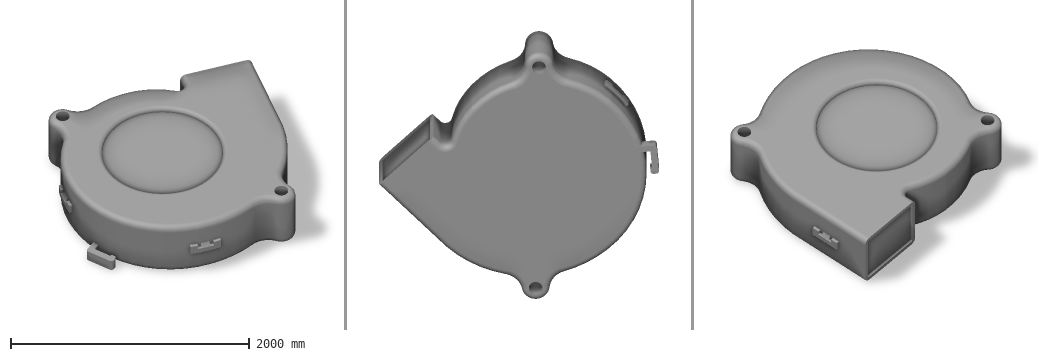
import cadquery as cq
import math


height = 508.0
edge_round = 52.0

spiral_x = -4.0
spiral_y = 5.0
smallest_radius = 685.0
growth_per_turn = 377.0
seam_width = 14.0

outlet_x = -810.0
duct_end_x = spiral_x + seam_width / 2
duct_height = 636.0
duct_top = spiral_y + smallest_radius + growth_per_turn
duct_bottom = duct_top - duct_height
duct_corner_radius = 55.0
duct_notch_angle = 147
outlet_wall = 35.0
outlet_depth = 20.0
outlet_corner_radius = 12.0

inlet_radius = 506.0
inlet_depth = 42.0
inlet_round = 40.0

ears = [(45, 1113.0), (225, 933.0)]
ear_radius = 118.0
ear_neck_radius = 180.0
ear_zone = 140.0
screw_hole_radius = 58.0

clip_width = 267.0
clip_height = 82.0
clip_bottom = 220.0
clip_thickness = 28.0
clip_notch_width = 142.0
clip_notch_depth = 35.0
clip_offset = 50.0
top_clip_x = -380.0
catch_width = 78.0
catch_reach = 22.0
clip_root = 100.0
clip_reach = 100.0

hook_height = 102.0
hook_corner = (545.0, -863.0)
hook_angle = 39
hook_length = 261.0
hook_thickness = 55.0
hook_root_thickness = 52.0
hook_root_length = 170.0
hook_lip_length = 52.0
hook_lip_height = 15.0
hook_corner_radius = 24.0


def spiral_point(angle, along=0.0, outward=0.0):
    """Point on the spiral, moved along the tangent and outward from the spiral centre."""
    a = math.radians(angle)
    radius = smallest_radius + growth_per_turn * (angle - 90) / 360 + outward
    x = spiral_x + radius * math.cos(a) - along * math.sin(a)
    y = spiral_y + radius * math.sin(a) + along * math.cos(a)
    return (x, y)


def volute(outward=0.0):
    """One turn of spiral from +Y, as an arc per quadrant with flat seams between."""
    half_seam = seam_width / 2
    outline = cq.Workplane("XY").moveTo(*spiral_point(90, 0, outward))
    for start in (90, 180, 270, 360):
        arc_start = spiral_point(start, half_seam, outward)
        arc_middle = spiral_point(start + 45, 0, outward)
        arc_end = spiral_point(start + 90, -half_seam, outward)
        outline = outline.lineTo(*arc_start).threePointArc(arc_middle, arc_end)
    return outline.lineTo(*spiral_point(450, 0, outward)).close().extrude(height)


def duct(outward=0.0):
    length = duct_end_x - outlet_x
    block = cq.Workplane("XY").box(length, duct_height + outward, height, centered=False)
    return block.translate((outlet_x, duct_bottom, 0))


def ear_center(angle, distance):
    a = math.radians(angle)
    return (distance * math.cos(a), distance * math.sin(a))


def casing():
    """Volute, duct and ears joined by smooth concave necks, with sharp rims."""
    body = volute().union(duct())
    for angle, distance in ears:
        ear = cq.Workplane("XY").center(-distance, 0).circle(ear_radius).extrude(height)
        body = body.union(ear.rotate((0, 0, 0), (0, 0, 1), angle - 180))
    for angle, distance in ears:
        x, y = ear_center(angle, distance)
        around_ear = cq.selectors.BoxSelector(
            (x - ear_zone, y - ear_zone, 0), (x + ear_zone, y + ear_zone, height)
        )
        body = body.edges("|Z").edges(around_ear).fillet(ear_neck_radius)
    duct_notch = cq.selectors.NearestToPointSelector((*spiral_point(duct_notch_angle), height / 2))
    body = body.edges("|Z").edges(duct_notch).fillet(duct_corner_radius)
    return body


def rounded(body):
    """Round the top and bottom rims, leaving the outlet face square-edged."""
    margin = 20.0
    outlet_end = cq.selectors.BoxSelector(
        (outlet_x - margin, duct_bottom - margin, -margin),
        (outlet_x + margin, duct_top + margin, height + margin),
    )
    rims = cq.selectors.SubtractSelector(cq.selectors.StringSyntaxSelector("#Z"), outlet_end)
    return body.edges(rims).fillet(edge_round)


def inlet_recess():
    """Shallow round pocket whose mouth flares out to the top face."""
    floor = height - inlet_depth
    profile = (
        cq.Workplane("XZ")
        .moveTo(0, floor)
        .lineTo(inlet_radius, floor)
        .lineTo(inlet_radius, height - inlet_round)
        .radiusArc((inlet_radius + inlet_round, height), inlet_round)
        .lineTo(0, height)
        .close()
    )
    return profile.revolve(360, (0, 0, 0), (0, 1, 0))


def outlet_recess():
    """Shallow rectangular pocket in the outlet face."""
    pocket = cq.Workplane("XY").box(
        outlet_depth, duct_height - 2 * outlet_wall, height - 2 * outlet_wall, centered=(False, True, True)
    )
    pocket = pocket.edges("|X").fillet(outlet_corner_radius)
    return pocket.translate((outlet_x, duct_top - duct_height / 2, height / 2))


def screw_holes():
    centers = [ear_center(angle, distance) for angle, distance in ears]
    return cq.Workplane("XY").pushPoints(centers).circle(screw_hole_radius).extrude(height)


def clip(angle, sideways, wall):
    """Notched plate with a sloped catch, on a wall at the given distance and direction."""
    notch_floor = clip_bottom + clip_height - clip_notch_depth
    clip_top = clip_bottom + clip_height
    root = wall - clip_root
    length = clip_root + clip_reach
    plate = cq.Workplane("XY").box(length, clip_width, clip_height, centered=(False, True, False))
    plate = plate.translate((root, 0, clip_bottom))
    notch = cq.Workplane("XY").box(length, clip_notch_width, clip_notch_depth, centered=(False, True, False))
    plate = plate.cut(notch.translate((root, 0, notch_floor)))
    catch = (
        cq.Workplane("XZ")
        .moveTo(root, notch_floor)
        .lineTo(wall + catch_reach, notch_floor)
        .lineTo(wall, clip_top)
        .lineTo(root, clip_top)
        .close()
        .extrude(catch_width / 2, both=True)
    )
    return plate.union(catch).translate((0, sideways, 0)).rotate((0, 0, 0), (0, 0, 1), angle)


def clips():
    """Clips on the right, top and front walls, trimmed to follow each wall."""
    right_wall = spiral_point(360)[0]
    front_wall = -spiral_point(270)[1]
    blanks = clip(0, clip_offset, right_wall)
    blanks = blanks.union(clip(90, -top_clip_x, duct_top))
    blanks = blanks.union(clip(270, clip_offset, front_wall))
    envelope = volute(clip_thickness).union(duct(clip_thickness))
    return blanks.intersect(envelope)


def hook():
    """Flat J-shaped hook: a root leaving the wall and an arm with a lipped, rounded tip."""
    lip_top = hook_thickness + hook_lip_height
    blade = (
        cq.Workplane("XY")
        .lineTo(hook_length, 0)
        .lineTo(hook_length, lip_top)
        .lineTo(hook_length - hook_lip_length, lip_top)
        .lineTo(hook_length - hook_lip_length, hook_thickness)
        .lineTo(hook_root_thickness, hook_thickness)
        .lineTo(hook_root_thickness, hook_root_length)
        .lineTo(0, hook_root_length)
        .close()
        .extrude(hook_height)
    )
    blade = blade.edges("|Z").edges("<Y").fillet(hook_corner_radius)
    tip_top = cq.selectors.NearestToPointSelector((hook_length, lip_top, hook_height / 2))
    blade = blade.edges("|Z").edges(tip_top).fillet(hook_corner_radius)
    return blade.rotate((0, 0, 0), (0, 0, 1), hook_angle).translate((*hook_corner, 0))


body = rounded(casing())
body = body.cut(inlet_recess()).cut(outlet_recess()).cut(screw_holes())
result = body.union(clips()).union(hook())